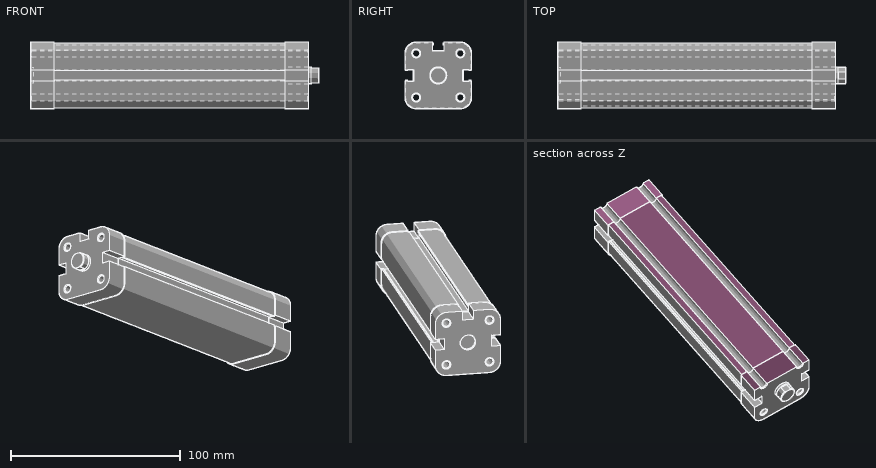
import cadquery as cq

total_length = 170.0
rod_stickout = 6.1
cap_length = 14.0
housing_length = total_length - rod_stickout
tube_start = cap_length
tube_length = housing_length - 2 * cap_length
front_cap_start = tube_start + tube_length

cap_side = 39.5
cap_corner_radius = 6.8
tube_inset = 0.5
tube_side = cap_side - 2 * tube_inset
tube_corner_radius = cap_corner_radius - tube_inset

slot_angles = (0, 90, 180)
slot_width = 6.6
cap_slot_floor = 14.3
tube_slot_floor = 14.8
tube_mouth_width = 5.6
tube_lip_depth = 1.2

screw_spacing = 26.0
screw_hole_diameter = 4.2
screw_hole_chamfer = 0.5

recess_diameter = 9.2
recess_depth = 1.9
rod_diameter = 10.0
rod_tip_diameter = 9.9
rod_collar_length = 1.5
flat_setback = 0.3
flat_distance = 9.0
rod_chamfer = 0.3


def rounded_bar(start, length, side, radius):
    """Square bar along X with rounded long edges."""
    bar = cq.Workplane("YZ").workplane(offset=start).rect(side, side).extrude(length)
    return bar.edges("|X").fillet(radius)


def slot_cutter(start, length, floor, top, width):
    """Block for one slot in each slotted side, from floor to top measured from the axis."""
    depth = top - floor
    block = (
        cq.Workplane("YZ")
        .workplane(offset=start)
        .center(floor + depth / 2, 0)
        .rect(depth, width)
        .extrude(length)
    )
    cutter = cq.Workplane("YZ")
    for angle in slot_angles:
        cutter = cutter.add(block.rotate((0, 0, 0), (1, 0, 0), angle))
    return cutter.combine()


def screw_holes(start, length):
    """Four corner holes along X."""
    return (
        cq.Workplane("YZ")
        .workplane(offset=start)
        .rect(screw_spacing, screw_spacing, forConstruction=True)
        .vertices()
        .circle(screw_hole_diameter / 2)
        .extrude(length)
    )


def round_bar(start, length, diameter):
    """Round bar on the X axis."""
    return cq.Workplane("YZ").workplane(offset=start).circle(diameter / 2).extrude(length)


def make_cap(start, outer_face):
    """End cap with slots and screw holes, chamfered where they open on the outer face."""
    cap = rounded_bar(start, cap_length, cap_side, cap_corner_radius)
    cap = cap.cut(slot_cutter(start, cap_length, cap_slot_floor, cap_side / 2, slot_width))
    cap = cap.cut(screw_holes(start, cap_length))
    hole_rims = cap.faces(outer_face).val().innerWires()
    return cap.newObject(hole_rims).edges().chamfer(screw_hole_chamfer)


def make_rear_cap():
    """Rear cap with a shallow round recess in its outer face."""
    return make_cap(0, "<X").cut(round_bar(0, recess_depth, recess_diameter))


def make_front_cap():
    """Front cap bored through for the rod."""
    return make_cap(front_cap_start, ">X").cut(round_bar(front_cap_start, cap_length, rod_diameter))


def make_tube():
    """Profile tube whose slots are narrowed at the mouth by two lips."""
    lip_bottom = tube_side / 2 - tube_lip_depth
    tube = rounded_bar(tube_start, tube_length, tube_side, tube_corner_radius)
    tube = tube.cut(slot_cutter(tube_start, tube_length, tube_slot_floor, lip_bottom, slot_width))
    tube = tube.cut(slot_cutter(tube_start, tube_length, tube_slot_floor, tube_side / 2, tube_mouth_width))
    return tube.cut(screw_holes(tube_start, tube_length))


def make_rod():
    """Rod seated in the front cap; its thinner tip has wrench flats facing +Z and -Z."""
    tip_start = housing_length + rod_collar_length
    tip_length = total_length - tip_start
    flat_length = tip_length - flat_setback
    collar = round_bar(front_cap_start, tip_start - front_cap_start, rod_diameter)
    tip = round_bar(tip_start, tip_length, rod_tip_diameter).faces(">X").chamfer(rod_chamfer)
    rod = collar.union(tip)
    outside_flats = (
        cq.Workplane("YZ")
        .workplane(offset=total_length - flat_length)
        .rect(2 * rod_diameter, 2 * rod_diameter)
        .rect(rod_diameter, flat_distance)
        .extrude(flat_length)
    )
    return rod.cut(outside_flats)


rear_cap = make_rear_cap()
tube = make_tube()
front_cap = make_front_cap()
rod = make_rod()

result = cq.Compound.makeCompound([rear_cap.val(), tube.val(), front_cap.val(), rod.val()])